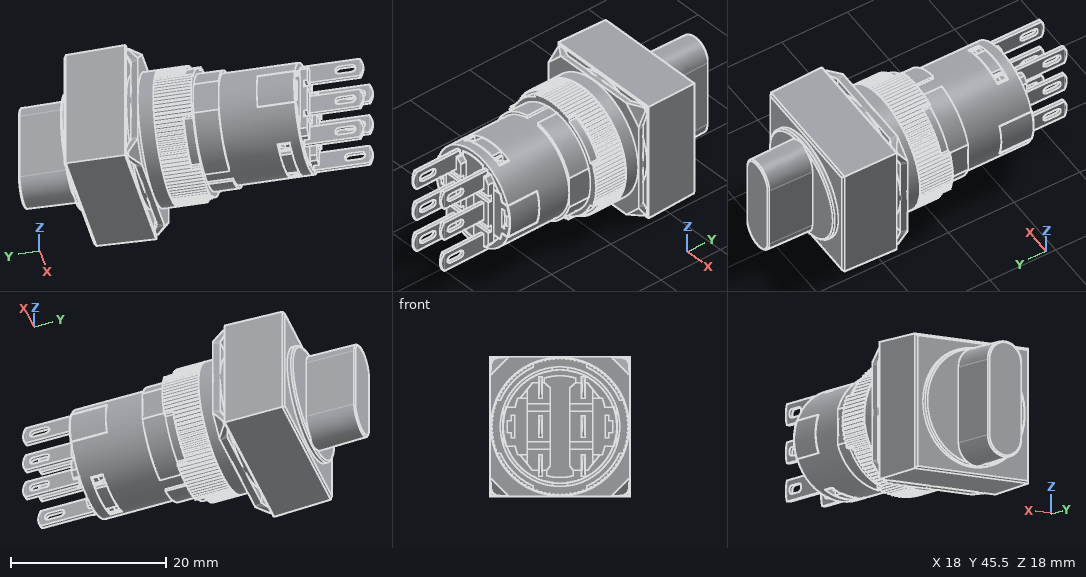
import cadquery as cq
import math


KNOB_END = 17.2
DISC_FRONT = 10.5
HEAD_FRONT = 9.8
HEAD_BACK = 1.55
RIM_BACK = -2.0
NOTCH_FRONT = -5.8
RING_BACK = -7.0
COLLAR_BACK = -10.3
BODY_BACK = -20.25
PLATE_BACK = -20.35
PIN_START = -20.55
STRIP_BACK = -21.25
PIN_END = -28.3

KNOB_LENGTH, KNOB_WIDTH = 15.42, 5.5
KNOB_TAPER = 1.0
KNOB_CHAMFER = 0.2
DISC_DIA = 15.55
DISC_CHAMFER = 0.25

HEAD_FRONT_SIDE, SIDE = 17.7, 18.0
HEAD_CHAMFER = 0.27
HEAD_BACK_CHAMFER = 0.15
FLANGE_TOP_SIDE = 17.45
FLANGE_CORNER_RADIUS = 0.55
FACET_LEG = 2.45
NECK_DIA = 17.6
LEDGE_HEIGHT = 0.95
LEDGE_HALF = 6.3
LEDGE_INSET = 0.25
POST_OUTER_HALF, POST_INNER_HALF = 8.65, 7.55

RING_DIA, KNURL_ROOT_DIA = 17.8, 17.43
TEETH = 100
NOTCH_DIA = 16.8
NOTCH_START = 3.4

BODY_DIA = 14.6
COLLAR_DIA = 15.4
COLLAR_FLAT = 7.33
COLLAR_GAP = 2.05
BORE_DEPTH = 0.9
PAD_DIA, PAD_HEIGHT, PAD_FRONT = 14.8, 5.05, -15.35
WINDOW_FRONT, WINDOW_BACK = -17.2, -18.8
WINDOW_WIDTH, WINDOW_FLOOR = 7.35, 6.35
LABEL_WIDTH, LABEL_DIA = 3.85, 14.42
LATCH_INNER, LATCH_OUTER = 2.25, 3.3
LATCH_RAMP_START = -18.0
LATCH_FLOOR, LATCH_RAMP_FLOOR = 6.15, 5.75

STRIP_INNER, STRIP_OUTER = 1.27, 4.2
STRIP_HALF_HEIGHT, STRIP_OUTER_HALF_HEIGHT = 5.65, 4.82
STRIP_BEVEL_X = 3.55
GROOVE_Z, GROOVE_WIDTH, GROOVE_DEPTH = 2.45, 0.95, 0.45
CENTER_PLATE_DIA = 13.1
STRIP_TOP_BEVEL_X, STRIP_TOP_BEVEL_Z = 2.0, 5.0
STRIP_BOTTOM_BEVEL_X, STRIP_BOTTOM_BEVEL_Z = 1.75, 5.1
STEP_BACK = -20.3
STEP_END_X = 5.15
SIDE_PLATE_HALF = 3.65
SLOT_DEPTH = 0.45
PIN_PITCH_Z = 5.0
PIN_X = (-2.5, 3.0)
PIN_WIDTH, PIN_THICKNESS, PIN_TIP_THICKNESS = 2.78, 0.5, 0.3
PIN_TIP = 0.43
EYE_LENGTH, EYE_WIDTH, EYE_CENTER = 2.7, 1.15, -26.0

OVERLAP = 0.25


def section(y):
    """Sketching plane across the axis at y; positive extrusion runs toward -Y."""
    return cq.Workplane("XZ", origin=(0, y, 0))


def cylinder(dia, front, back):
    return section(front).circle(dia / 2).extrude(front - back)


def square_frustum(front_side, back_side, front, back):
    return (
        section(front).rect(front_side, front_side)
        .workplane(offset=front - back).rect(back_side, back_side)
        .loft(ruled=True)
    )


def make_knob():
    length = KNOB_END - HEAD_FRONT
    grip = (
        section(HEAD_FRONT).slot2D(KNOB_LENGTH, KNOB_WIDTH, 90)
        .extrude(-length, taper=KNOB_TAPER)
        .faces(">Y").chamfer(KNOB_CHAMFER)
    )
    disc = cylinder(DISC_DIA, DISC_FRONT, HEAD_FRONT - OVERLAP).faces(">Y").chamfer(DISC_CHAMFER)
    return disc.union(grip)


def make_head():
    widest = HEAD_BACK + HEAD_BACK_CHAMFER
    head = square_frustum(HEAD_FRONT_SIDE, SIDE, HEAD_FRONT, widest)
    base = square_frustum(SIDE, SIDE - 2 * HEAD_BACK_CHAMFER, widest, HEAD_BACK)
    return head.faces(">Y").chamfer(HEAD_CHAMFER).union(base)


def flange_facet(angle):
    """Wedge that slopes one flange corner forward from the panel face."""
    half = SIDE / 2
    base = half - FACET_LEG
    corner = FLANGE_TOP_SIDE / 2
    chord = (half + base) / math.sqrt(2)
    tip = corner * math.sqrt(2)
    wedge = (
        cq.Workplane("XY").polyline([(chord, 0), (tip, HEAD_BACK), (2 * SIDE, HEAD_BACK), (2 * SIDE, 0)])
        .close().extrude(SIDE, both=True)
    )
    return wedge.rotate((0, 0, 0), (0, 1, 0), angle)


def flange_scoop(angle):
    """Opening in one flange side: an inclined ledge below and sloped corner posts beside it."""
    half = SIDE / 2
    ledge_z = half - LEDGE_INSET
    inner = [
        (-LEDGE_HALF, LEDGE_HEIGHT), (LEDGE_HALF, LEDGE_HEIGHT),
        (POST_INNER_HALF, HEAD_BACK), (-POST_INNER_HALF, HEAD_BACK),
    ]
    outer = [
        (-LEDGE_HALF, 0), (LEDGE_HALF, 0),
        (POST_OUTER_HALF, HEAD_BACK), (-POST_OUTER_HALF, HEAD_BACK),
    ]
    flare = (
        cq.Workplane("XY", origin=(0, 0, ledge_z)).polyline(inner).close()
        .workplane(offset=LEDGE_INSET).polyline(outer).close()
        .loft(ruled=True)
    )
    recess_start = NECK_DIA / 4
    recess = (
        cq.Workplane("XY", origin=(0, 0, recess_start)).polyline(inner).close()
        .extrude(ledge_z - recess_start)
    )
    return flare.union(recess).rotate((0, 0, 0), (0, 1, 0), angle)


def make_flange():
    flange = square_frustum(FLANGE_TOP_SIDE, SIDE, HEAD_BACK, 0)
    flange = flange.edges("not(|X or |Z)").fillet(FLANGE_CORNER_RADIUS)
    for quarter in range(4):
        flange = flange.cut(flange_scoop(90 * quarter))
    for quarter in range(4):
        flange = flange.cut(flange_facet(45 + 90 * quarter))
    return flange.union(cylinder(NECK_DIA, HEAD_BACK + OVERLAP, -OVERLAP))


def make_ring():
    points = []
    for step in range(2 * TEETH):
        radius = (RING_DIA if step % 2 == 0 else KNURL_ROOT_DIA) / 2
        angle = math.pi * step / TEETH
        points.append((radius * math.cos(angle), radius * math.sin(angle)))
    knurl = section(RIM_BACK).polyline(points).close().extrude(RIM_BACK - RING_BACK)
    core = cylinder(NOTCH_DIA, NOTCH_FRONT, RING_BACK)
    for x_sign in (-1, 1):
        for z_sign in (-1, 1):
            center = NOTCH_START + SIDE / 2
            notch = (
                section(NOTCH_FRONT).center(x_sign * center, z_sign * center)
                .rect(SIDE, SIDE).extrude(NOTCH_FRONT - RING_BACK)
            )
            knurl = knurl.cut(notch.cut(core))
    knurl = knurl.cut(cylinder(COLLAR_DIA, RING_BACK + BORE_DEPTH, RING_BACK))
    return knurl.union(cylinder(RING_DIA, 0, RIM_BACK))


def make_collar():
    front = RING_BACK + BORE_DEPTH
    length = front - COLLAR_BACK
    flats = section(front).rect(2 * COLLAR_FLAT, 2 * SIDE).extrude(length)
    gap = section(front).rect(COLLAR_GAP, 2 * SIDE).extrude(length)
    return cylinder(COLLAR_DIA, front, COLLAR_BACK).intersect(flats).cut(gap)


def make_window(z_sign):
    """Label window: shallow curved label floor between end pockets with ramped latch recesses."""
    length = WINDOW_FRONT - WINDOW_BACK
    height = SIDE / 2 - WINDOW_FLOOR
    center_z = z_sign * (WINDOW_FLOOR + height / 2)
    pocket = section(WINDOW_FRONT).center(0, center_z).rect(WINDOW_WIDTH, height).extrude(length)
    label = section(WINDOW_FRONT).center(0, center_z).rect(LABEL_WIDTH, height).extrude(length)
    window = pocket.cut(label.intersect(cylinder(LABEL_DIA, WINDOW_FRONT, WINDOW_BACK)))
    latch_profile = [
        (WINDOW_BACK, z_sign * SIDE / 2), (WINDOW_BACK, z_sign * LATCH_FLOOR),
        (LATCH_RAMP_START, z_sign * LATCH_FLOOR), (WINDOW_FRONT, z_sign * LATCH_RAMP_FLOOR),
        (WINDOW_FRONT, z_sign * SIDE / 2),
    ]
    for x in (-LATCH_OUTER, LATCH_INNER):
        latch = cq.Workplane("YZ", origin=(x, 0, 0)).polyline(latch_profile).close()
        window = window.union(latch.extrude(LATCH_OUTER - LATCH_INNER))
    return window


def make_body():
    body = cylinder(BODY_DIA, RIM_BACK, BODY_BACK)
    band = section(PAD_FRONT).rect(SIDE, PAD_HEIGHT).extrude(PAD_FRONT - BODY_BACK)
    body = body.union(cylinder(PAD_DIA, PAD_FRONT, BODY_BACK).intersect(band))
    for z_sign in (-1, 1):
        body = body.cut(make_window(z_sign))
    return body.union(make_collar())


def end_plate(points, dia, back):
    """Thin plate raised on the rear face, trimmed to a round outline."""
    front = BODY_BACK + OVERLAP
    plate = section(front).polyline(points).close().extrude(front - back)
    return plate.intersect(cylinder(dia, front, back))


def mirrored_outline(upper, side):
    """Close an upper outline with its mirror image in Z and place it on side -1 or 1."""
    lower = [(x, -z) for x, z in reversed(upper)]
    return [(side * x, z) for x, z in upper + lower]


def make_center_plate():
    """Plate between the terminal strips, widened at both ends."""
    end = CENTER_PLATE_DIA / 2
    right = [
        (STRIP_BOTTOM_BEVEL_X, -end), (STRIP_BOTTOM_BEVEL_X, -STRIP_HALF_HEIGHT),
        (STRIP_INNER, -STRIP_BOTTOM_BEVEL_Z), (STRIP_INNER, STRIP_TOP_BEVEL_Z),
        (STRIP_TOP_BEVEL_X, STRIP_HALF_HEIGHT), (STRIP_TOP_BEVEL_X, end),
    ]
    left = [(-x, z) for x, z in reversed(right)]
    return end_plate(right + left, CENTER_PLATE_DIA, PLATE_BACK)


def make_side_plate(side):
    """Lamp terminal plate, with a lower bevelled step beside the strip."""
    outer_half = 2.5
    shoulder_start, shoulder_end = 5.45, 5.8
    plate = [
        (STRIP_OUTER, SIDE_PLATE_HALF), (shoulder_start, SIDE_PLATE_HALF),
        (shoulder_end, outer_half), (BODY_DIA / 2, outer_half),
    ]
    step = [(STRIP_OUTER, STRIP_OUTER_HALF_HEIGHT), (STEP_END_X, SIDE_PLATE_HALF)]
    raised = end_plate(mirrored_outline(plate, side), BODY_DIA, PLATE_BACK)
    return raised.union(end_plate(mirrored_outline(step, side), BODY_DIA, STEP_BACK))


def make_socket_slots(side):
    """T-shaped lamp socket opening in a side plate."""
    wide_x, wide_width, wide_height = 6.05, 0.5, 2.9
    narrow_x, narrow_width, narrow_height = 6.45, 0.65, 1.55
    front = PLATE_BACK + SLOT_DEPTH
    wide = section(front).center(side * wide_x, 0).rect(wide_width, wide_height).extrude(SLOT_DEPTH)
    narrow = section(front).center(side * narrow_x, 0).rect(narrow_width, narrow_height).extrude(SLOT_DEPTH)
    return wide.union(narrow)


def make_strip(side):
    """Raised terminal barrier with bevelled corners and two cross grooves."""
    outline = [
        (STRIP_INNER, STRIP_TOP_BEVEL_Z), (STRIP_TOP_BEVEL_X, STRIP_HALF_HEIGHT),
        (STRIP_BEVEL_X, STRIP_HALF_HEIGHT), (STRIP_OUTER, STRIP_OUTER_HALF_HEIGHT),
        (STRIP_OUTER, -STRIP_OUTER_HALF_HEIGHT), (STRIP_BEVEL_X, -STRIP_HALF_HEIGHT),
        (STRIP_BOTTOM_BEVEL_X, -STRIP_HALF_HEIGHT), (STRIP_INNER, -STRIP_BOTTOM_BEVEL_Z),
    ]
    outline = [(side * x, z) for x, z in outline]
    front = BODY_BACK + OVERLAP
    strip = section(front).polyline(outline).close().extrude(front - STRIP_BACK)
    grooves = (
        section(STRIP_BACK + GROOVE_DEPTH).pushPoints([(0, -GROOVE_Z), (0, GROOVE_Z)])
        .rect(SIDE, GROOVE_WIDTH).extrude(GROOVE_DEPTH)
    )
    return strip.cut(grooves)


def make_pin(x, z):
    """Flat solder terminal with an oblong eye, a curved end and a thinned tip."""
    half = PIN_WIDTH / 2
    shoulder = PIN_END + PIN_TIP
    blade = (
        cq.Workplane("YZ", origin=(x, 0, z)).moveTo(PIN_START, -half).lineTo(shoulder, -half)
        .threePointArc((PIN_END, 0), (shoulder, half)).lineTo(PIN_START, half).close()
        .extrude(PIN_THICKNESS / 2, both=True)
    )
    eye = (
        cq.Workplane("YZ", origin=(x, 0, z)).center(EYE_CENTER, 0)
        .slot2D(EYE_LENGTH, EYE_WIDTH).extrude(PIN_THICKNESS, both=True)
    )
    thick, thin = PIN_THICKNESS / 2, PIN_TIP_THICKNESS / 2
    profile = (
        cq.Workplane("XY", origin=(x, 0, z)).polyline([
            (-thick, PIN_START), (thick, PIN_START), (thick, shoulder),
            (thin, PIN_END), (-thin, PIN_END), (-thick, shoulder),
        ]).close().extrude(half, both=True)
    )
    return blade.intersect(profile).cut(eye)


result = make_head().union(make_knob()).union(make_flange()).union(make_ring()).union(make_body())
result = result.union(make_center_plate())
for side in (-1, 1):
    result = result.union(make_side_plate(side)).cut(make_socket_slots(side)).union(make_strip(side))
for pin_x in PIN_X:
    for row in (-1, 0, 1):
        result = result.union(make_pin(pin_x, row * PIN_PITCH_Z))